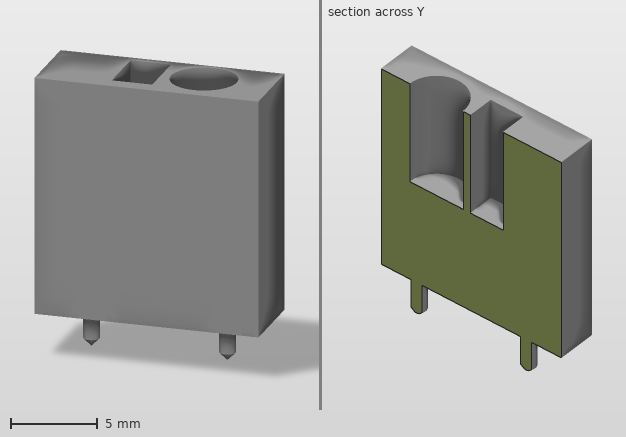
import cadquery as cq

overall_height = 16.9
body_width = 13.5
body_depth = 5.0
pin_length = 2.5
body_height = overall_height - pin_length

pin_diameter = 1.0
pin_spacing = 8.2
point_length = pin_diameter / 2

opening_depth = body_height / 2
opening_y = 0.25
round_diameter = 3.95
round_x = 2.6
slot_width = 2.43
slot_depth = 3.62
slot_x = -1.17


def make_pin(x):
    """Round pin hanging from the block's underside, ending in a cone."""
    radius = pin_diameter / 2
    profile = (
        cq.Workplane("XZ")
        .polyline([
            (0, 0),
            (radius, 0),
            (radius, point_length - pin_length),
            (0, -pin_length),
        ])
        .close()
    )
    return profile.revolve(360, (0, 0), (0, 1)).translate((x, 0, 0))


body = cq.Workplane("XY").box(body_width, body_depth, body_height, centered=(True, True, False))

top_plane = cq.Workplane("XY").workplane(offset=body_height)
round_hole = top_plane.center(round_x, opening_y).circle(round_diameter / 2).extrude(-opening_depth)
slot = top_plane.center(slot_x, opening_y).rect(slot_width, slot_depth).extrude(-opening_depth)

result = body.cut(round_hole).cut(slot)
for side in (-1, 1):
    result = result.union(make_pin(side * pin_spacing / 2))